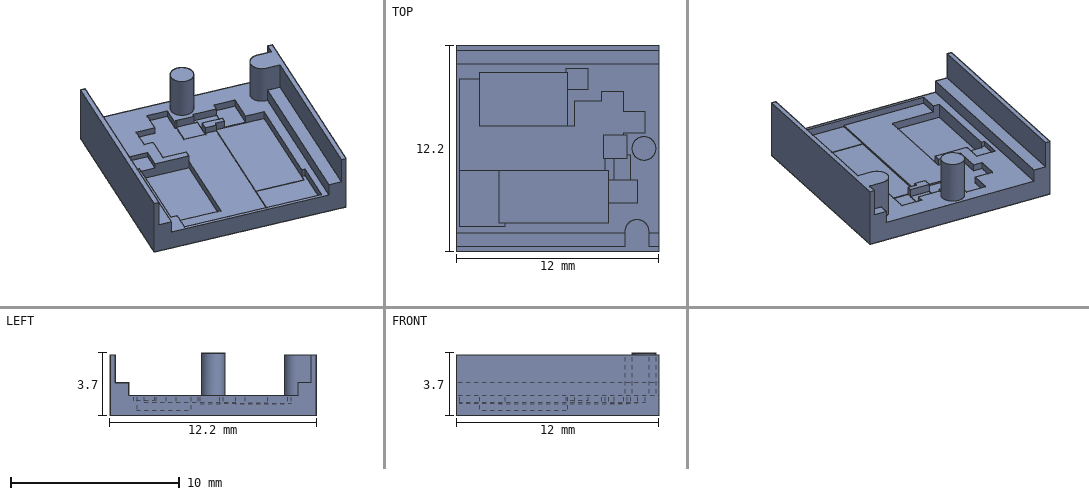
import cadquery as cq

length_x = 12.0
width_y = 12.2
floor_z = 1.2
ledge_z = 1.95
wall_z = 3.6
pin_z = 3.7
ledge_width = 1.1
wall_thickness = 0.3

post_diameter = 1.4
pin_x, pin_y = 11.1, 6.1
post_x, post_y = 10.69, 1.2

small_depth = 0.3
shallow_depth = 0.4
lower_depth = 0.45
strip_depth = 0.48
medium_depth = 0.5
deep_depth = 0.88

west_edge = 0.2
middle_south = 4.8
middle_north = 7.42
tall_west = 7.0
tall_east = 8.81
south_pocket_east = 9.02
square_north = 6.89
arm_east = 9.9
east_pocket_north = 4.22

pockets = [
    (west_edge, middle_north, 1.38, 10.2, shallow_depth),
    (1.38, middle_north, 6.59, 10.6, deep_depth),
    (6.49, 9.58, 7.78, 10.82, small_depth),
    (west_edge, middle_south, tall_west, middle_north, shallow_depth),
    (tall_west, middle_south, tall_east, 8.9, shallow_depth),
    (west_edge, 1.49, 2.88, middle_south, strip_depth),
    (2.51, 1.7, south_pocket_east, middle_south, medium_depth),
    (8.6, square_north, arm_east, 9.48, shallow_depth),
    (arm_east, 7.0, 11.18, 8.3, shallow_depth),
    (8.71, 5.51, 10.1, square_north, medium_depth),
    (9.32, east_pocket_north, 10.3, 5.72, strip_depth),
    (south_pocket_east, 2.88, 10.71, east_pocket_north, lower_depth),
]


def block(west, south, east, north, bottom, top):
    """Box given by its six limits."""
    size = (east - west, north - south, top - bottom)
    return cq.Workplane("XY").box(*size, centered=False).translate((west, south, bottom))


def cylinder(x, y, top):
    """Upright post rising from the underside, so that it joins the floor."""
    return cq.Workplane("XY").center(x, y).circle(post_diameter / 2).extrude(top)


def tray_body():
    """Stepped channel: floor, a ledge on both sides and a thin wall on each ledge."""
    half_profile = [
        (0, 0),
        (0, wall_z),
        (wall_thickness, wall_z),
        (wall_thickness, ledge_z),
        (ledge_width, ledge_z),
        (ledge_width, floor_z),
        (width_y / 2, floor_z),
        (width_y / 2, 0),
    ]
    half = cq.Workplane("YZ").polyline(half_profile).close().extrude(length_x)
    return half.union(half.mirror("XZ", (0, width_y / 2, 0))).clean()


result = tray_body()

for west, south, east, north, depth in pockets:
    result = result.cut(block(west, south, east, north, floor_z - depth, floor_z))

result = result.union(cylinder(pin_x, pin_y, pin_z))

post_radius = post_diameter / 2
post_web = block(post_x - post_radius, 0, post_x + post_radius, post_y, 0, wall_z)
result = result.union(cylinder(post_x, post_y, wall_z)).union(post_web).clean()